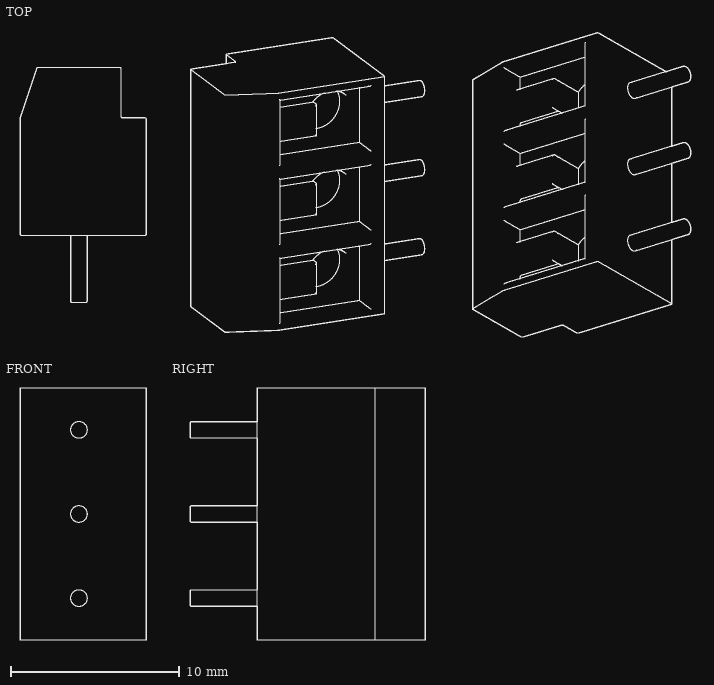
import cadquery as cq

HEIGHT = 15.0
WIDTH = 7.5
DEPTH = 10.0
POLES = 3
PITCH = HEIGHT / POLES
EDGE_RADIUS = 0.1

SLOPE_WIDTH = 1.0
SHOULDER_DEPTH = 3.0
STEP_WIDTH = 1.5

POCKET_DEPTH = 1.5
POCKET_HEIGHT = 4.0
POCKET_FRONT = 1.0
POCKET_BACK = 6.82
POCKET_LENGTH = POCKET_BACK - POCKET_FRONT

HOLE_RADIUS = 1.5
HOLE_DEPTH = 2.0
HOLE_Y = 2.88

CLAMP_HEIGHT = 2.0
CLAMP_RISE = 0.5
CLAMP_FRONT = 4.0
CLAMP_FACE_X = POCKET_DEPTH - CLAMP_RISE
CLAMP_LENGTH = POCKET_BACK - CLAMP_FRONT

PIN_RADIUS = 0.5
PIN_LENGTH = 3.99
PIN_X = 3.5

SELECT_MARGIN = 0.02

POLE_HEIGHTS = [(pole + 0.5) * PITCH for pole in range(POLES)]


def box_between(x_start, x_size, y_start, y_size, z_middle, z_size):
    """Box growing in +X and +Y from its start corner, centred in Z."""
    box = cq.Workplane("XY").box(x_size, y_size, z_size, centered=(False, False, True))
    return box.translate((x_start, y_start, z_middle))


def make_blank():
    """Extruded side profile with its upright edges rounded."""
    shoulder_y = DEPTH - SHOULDER_DEPTH
    return (
        cq.Workplane("XY")
        .polyline([
            (0, 0),
            (WIDTH, 0),
            (WIDTH, shoulder_y),
            (WIDTH - STEP_WIDTH, shoulder_y),
            (WIDTH - STEP_WIDTH, DEPTH),
            (SLOPE_WIDTH, DEPTH),
            (0, shoulder_y),
        ])
        .close()
        .extrude(HEIGHT)
        .edges("|Z")
        .fillet(EDGE_RADIUS)
    )


def cut_pocket(body, z):
    """Cut a rectangular recess into the -X face and round its mouth."""
    pocket = box_between(0, POCKET_DEPTH, POCKET_FRONT, POCKET_LENGTH, z, POCKET_HEIGHT)
    mouth = cq.selectors.BoxSelector(
        (-SELECT_MARGIN, POCKET_FRONT - SELECT_MARGIN, z - POCKET_HEIGHT / 2 - SELECT_MARGIN),
        (SELECT_MARGIN, POCKET_BACK + SELECT_MARGIN, z + POCKET_HEIGHT / 2 + SELECT_MARGIN),
    )
    return body.cut(pocket).edges(mouth).fillet(EDGE_RADIUS)


def cut_hole(body, z):
    """Cut the blind wire hole into the pocket floor and round its rim."""
    hole = (
        cq.Workplane("YZ", origin=(POCKET_DEPTH, HOLE_Y, z))
        .circle(HOLE_RADIUS)
        .extrude(HOLE_DEPTH)
    )
    rim = cq.selectors.BoxSelector(
        (POCKET_DEPTH - SELECT_MARGIN, HOLE_Y - 2 * HOLE_RADIUS, z - 2 * HOLE_RADIUS),
        (POCKET_DEPTH + SELECT_MARGIN, HOLE_Y + 2 * HOLE_RADIUS, z + 2 * HOLE_RADIUS),
    )
    return body.cut(hole).edges("%CIRCLE").edges(rim).fillet(EDGE_RADIUS)


def add_clamp(body, z):
    """Add the block between hole and pocket wall; its front side runs on down the hole."""
    clamp = box_between(
        CLAMP_FACE_X, CLAMP_RISE + HOLE_DEPTH, CLAMP_FRONT, CLAMP_LENGTH, z, CLAMP_HEIGHT
    )
    clamp = clamp.faces("<X").edges("<Y or |Y").fillet(EDGE_RADIUS)
    wall_corner = cq.selectors.BoxSelector(
        (CLAMP_FACE_X - SELECT_MARGIN, POCKET_BACK - SELECT_MARGIN, z - SELECT_MARGIN),
        (CLAMP_FACE_X + SELECT_MARGIN, POCKET_BACK + SELECT_MARGIN, z + SELECT_MARGIN),
    )
    return body.union(clamp).edges(wall_corner).fillet(EDGE_RADIUS)


def make_housing():
    housing = make_blank()
    for z in POLE_HEIGHTS:
        housing = cut_pocket(housing, z)
        housing = cut_hole(housing, z)
        housing = add_clamp(housing, z)
    return housing


def make_pin(z):
    pin = (
        cq.Workplane("XZ", origin=(PIN_X, 0, z))
        .circle(PIN_RADIUS)
        .extrude(PIN_LENGTH)
    )
    return pin.faces("<Y").edges().fillet(EDGE_RADIUS)


housing = make_housing()
pins = [make_pin(z) for z in POLE_HEIGHTS]

result = cq.Compound.makeCompound([housing.val(), *[pin.val() for pin in pins]])